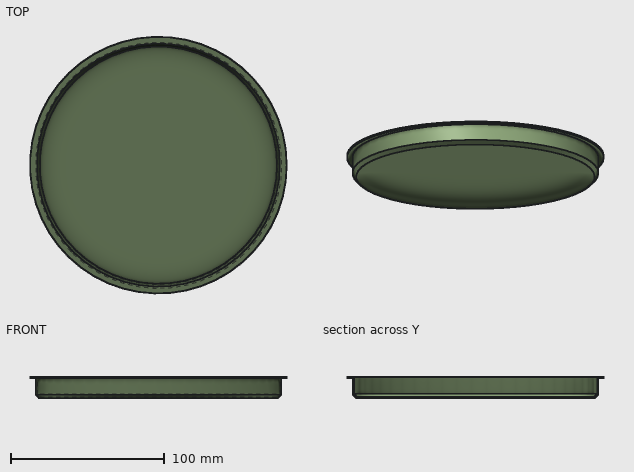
import cadquery as cq
import math

flange_diameter = 167.0
body_diameter = 160.0
height = 14.0

wall_thickness = 1.0
floor_thickness = wall_thickness
flange_thickness = wall_thickness

outer_chamfer = 2.5
inner_chamfer = outer_chamfer - (2 - math.sqrt(2)) * wall_thickness

flange_radius = flange_diameter / 2
body_radius = body_diameter / 2
cavity_radius = body_radius - wall_thickness
cavity_depth = height - floor_thickness


def make_body():
    """Solid cup shape with a chamfered bottom edge, base at Z = 0."""
    body = cq.Workplane("XY").circle(body_radius).extrude(height)
    return body.faces("<Z").chamfer(outer_chamfer)


def make_flange():
    """Thin disc flush with the top of the body, forming the outward rim."""
    underside = cq.Workplane("XY").workplane(offset=height - flange_thickness)
    return underside.circle(flange_radius).extrude(flange_thickness)


def make_cavity():
    """Hollow of the tray, open at the top and chamfered where it meets the floor."""
    cavity = cq.Workplane("XY").workplane(offset=floor_thickness).circle(cavity_radius).extrude(cavity_depth)
    return cavity.faces("<Z").chamfer(inner_chamfer)


result = make_body().union(make_flange()).cut(make_cavity())